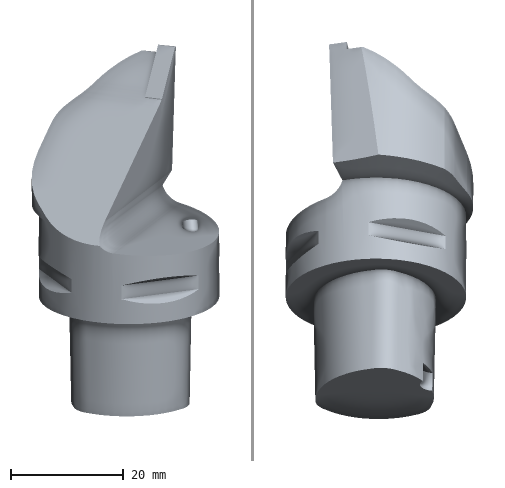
import cadquery as cq
import math

FLANGE_DIA = 32.0
FLANGE_RADIUS = FLANGE_DIA / 2
FLANGE_TOP = 15.9
SHANK_LENGTH = 19.1
TOP_Z = 59 - SHANK_LENGTH
CLEARANCE = 35.4

LOBE_RADIUS = 11.55
JOINT_RADIUS = 11.2
FLAT_RADIUS = 10.4
SHANK_TAPER = 0.35
LOBE_HALF_ANGLE = 12.4
NOTCH_AXIS_X = -11.2
NOTCH_RADIUS = 2.6
NOTCH_HEIGHT = 3.5

GROOVE_FLOOR = 14.15
GROOVE_Z = 5.9
GROOVE_FLOOR_HEIGHT = 2.55
GROOVE_MOUTH_HEIGHT = 4.7

HEAD_LEFT = -18.2
FLAT_START_Y = 1.95
FLAT_END_Y = 7.8
SHOULDER_END = (-17.6, 11.1)
CREST_MIDDLE = (-13.0, 17.2)
CREST_END = (-5.6, 21.65)
UNDERSIDE_ANGLE = 15.0
HEAD_TOP = 38.5

BACK_Y = 22.0
BACK_RELIEF = 0.05
BACK_SKEW = 0.07

RAMP_FOOT_Z = 14.3
RAMP_ANGLE = 29.0
SEAT_ANGLE = 49.5
SEAT_BEND_Y = 15.7
SEAT_BEND_RADIUS = 8.85

WALL_LEAN = 0.3
FLOOR_EDGE_Z = 12.0
FLOOR_ANGLE = 5.0
FLOOR_FILLET = 3.95

NOZZLE_DIA = 2.8
NOZZLE_LENGTH = 3.55
NOZZLE_END = (9.5, 5.2, 13.45)
NOZZLE_BEARING = 123.0
NOZZLE_ELEVATION = 55.0

INSERT_WIDTH = 3.25
INSERT_FRONT_Y = 15.5
INSERT_FRONT_Z = 32.05
INSERT_TIP_Y = 21.6
INSERT_DEPTH = 2.35


def polar(radius, degrees):
    angle = math.radians(degrees)
    return (radius * math.cos(angle), radius * math.sin(angle))


def lobed_outline(work, shrink):
    """Closed outline of three tight lobe arcs and three broad flat arcs."""
    outline = work.moveTo(*polar(JOINT_RADIUS - shrink, -LOBE_HALF_ANGLE))
    for lobe in (0, 120, 240):
        outline = outline.threePointArc(
            polar(LOBE_RADIUS - shrink, lobe),
            polar(JOINT_RADIUS - shrink, lobe + LOBE_HALF_ANGLE),
        ).threePointArc(
            polar(FLAT_RADIUS - shrink, lobe + 60),
            polar(JOINT_RADIUS - shrink, lobe + 120 - LOBE_HALF_ANGLE),
        )
    return outline.close()


def make_shank():
    base = lobed_outline(cq.Workplane("XY").workplane(offset=-SHANK_LENGTH), SHANK_TAPER)
    shank = lobed_outline(base.workplane(offset=SHANK_LENGTH), 0).loft(ruled=True)
    notch = (
        cq.Workplane("XY", origin=(NOTCH_AXIS_X, 0, -SHANK_LENGTH))
        .circle(NOTCH_RADIUS)
        .extrude(NOTCH_HEIGHT)
    )
    return shank.cut(notch)


def make_grooves():
    """Four straight grooves with sloping sides, on the diagonals of the flange."""
    floor_half = GROOVE_FLOOR_HEIGHT / 2
    mouth_half = GROOVE_MOUTH_HEIGHT / 2
    groove = (
        cq.Workplane("XZ")
        .polyline([
            (GROOVE_FLOOR, GROOVE_Z - floor_half),
            (FLANGE_RADIUS, GROOVE_Z - mouth_half),
            (FLANGE_RADIUS, GROOVE_Z + mouth_half),
            (GROOVE_FLOOR, GROOVE_Z + floor_half),
        ])
        .close()
        .extrude(FLANGE_RADIUS, both=True)
    )
    return [groove.rotate((0, 0, 0), (0, 0, 1), angle) for angle in (45, 135, 225, 315)]


def make_head():
    """Overhanging prism, trimmed below by a cone rising from the flange rim."""
    rim = polar(FLANGE_RADIUS, 225)
    turn = 45
    line_sum = -rim[0] - rim[1]
    corner_radius = (line_sum + HEAD_LEFT + FLAT_START_Y) / (math.sqrt(2) - 1)
    corner_x = HEAD_LEFT + corner_radius

    def corner_point(angle):
        dx, dy = polar(corner_radius, angle)
        return (corner_x + dx, FLAT_START_Y + dy)

    inner_x = 5.9
    prism = (
        cq.Workplane("XY")
        .moveTo(*rim)
        .lineTo(*corner_point(180 + turn))
        .threePointArc(corner_point(180 + turn / 2), (HEAD_LEFT, FLAT_START_Y))
        .lineTo(HEAD_LEFT, FLAT_END_Y)
        .tangentArcPoint(SHOULDER_END, relative=False)
        .threePointArc(CREST_MIDDLE, CREST_END)
        .lineTo(CREST_END[0], BACK_Y)
        .lineTo(inner_x, BACK_Y)
        .lineTo(inner_x, 0)
        .close()
        .extrude(HEAD_TOP)
    )
    outer = 2 * FLANGE_RADIUS
    rise = (outer - FLANGE_RADIUS) * math.tan(math.radians(UNDERSIDE_ANGLE))
    above_cone = (
        cq.Workplane("XZ")
        .polyline([
            (0, FLANGE_TOP),
            (FLANGE_RADIUS, FLANGE_TOP),
            (outer, FLANGE_TOP + rise),
            (outer, TOP_Z),
            (0, TOP_Z),
        ])
        .close()
        .revolve(360, (0, 0, 0), (0, 1, 0))
    )
    return prism.intersect(above_cone)


def make_back_cutter():
    """Everything behind the skewed relief plane."""
    normal = cq.Vector(-BACK_SKEW, 1, -BACK_RELIEF)
    plane = cq.Plane(origin=(0, BACK_Y, TOP_Z), xDir=(1, BACK_SKEW, 0), normal=normal)
    return cq.Workplane(plane).rect(4 * CLEARANCE, 4 * CLEARANCE).extrude(CLEARANCE)


def make_front_cutter():
    """Everything above the ramp and the seat, with a rounded bend between them."""
    ramp_slope = math.tan(math.radians(RAMP_ANGLE))
    seat_slope = math.tan(math.radians(SEAT_ANGLE))
    bend_z = RAMP_FOOT_Z + (SEAT_BEND_Y + FLANGE_RADIUS) * ramp_slope
    top = TOP_Z + CLEARANCE
    cutter = (
        cq.Workplane("YZ")
        .polyline([
            (SEAT_BEND_Y, bend_z),
            (SEAT_BEND_Y + (top - bend_z) / seat_slope, top),
            (-CLEARANCE, top),
            (-CLEARANCE, RAMP_FOOT_Z + (FLANGE_RADIUS - CLEARANCE) * ramp_slope),
        ])
        .close()
        .extrude(CLEARANCE, both=True)
    )
    bend = cq.selectors.NearestToPointSelector((0, SEAT_BEND_Y, bend_z))
    return cutter.edges("|X").edges(bend).fillet(SEAT_BEND_RADIUS)


def make_side_cutter():
    """Everything to the +X side of the wall and above the gently sloping floor."""
    floor_slope = math.tan(math.radians(FLOOR_ANGLE))
    foot_z = FLOOR_EDGE_Z + (FLANGE_RADIUS + WALL_LEAN) * floor_slope
    cutter = (
        cq.Workplane("XZ")
        .polyline([
            (-WALL_LEAN, foot_z),
            (CLEARANCE, FLOOR_EDGE_Z - (CLEARANCE - FLANGE_RADIUS) * floor_slope),
            (CLEARANCE, TOP_Z),
            (0, TOP_Z),
        ])
        .close()
        .extrude(CLEARANCE, both=True)
    )
    foot = cq.selectors.NearestToPointSelector((-WALL_LEAN, 0, foot_z))
    return cutter.edges("|Y").edges(foot).fillet(FLOOR_FILLET)


def make_nozzle():
    horizontal = polar(math.cos(math.radians(NOZZLE_ELEVATION)), NOZZLE_BEARING)
    direction = cq.Vector(*horizontal, math.sin(math.radians(NOZZLE_ELEVATION)))
    start = cq.Vector(*NOZZLE_END) - direction * NOZZLE_LENGTH
    return cq.Solid.makeCylinder(NOZZLE_DIA / 2, NOZZLE_LENGTH, start, direction)


def make_insert(back_cutter):
    """Sloping cutting insert whose back follows the relief plane of the head."""
    face_slope = (TOP_Z - INSERT_FRONT_Z) / (INSERT_TIP_Y - INSERT_FRONT_Y)
    far_z = TOP_Z - INSERT_DEPTH + (BACK_Y - INSERT_TIP_Y) * face_slope
    blank = (
        cq.Workplane("YZ")
        .polyline([
            (INSERT_FRONT_Y, INSERT_FRONT_Z),
            (INSERT_TIP_Y, TOP_Z),
            (BACK_Y, TOP_Z),
            (BACK_Y, far_z),
            (INSERT_FRONT_Y, INSERT_FRONT_Z - INSERT_DEPTH),
        ])
        .close()
        .extrude(-INSERT_WIDTH)
    )
    return blank.cut(back_cutter)


def make_holder(insert, back_cutter):
    body = cq.Workplane("XY").circle(FLANGE_RADIUS).extrude(HEAD_TOP)
    body = body.union(make_head())
    for cutter in (back_cutter, make_front_cutter(), make_side_cutter(), *make_grooves()):
        body = body.cut(cutter)
    return body.union(make_shank()).union(make_nozzle()).cut(insert)


back = make_back_cutter()
insert = make_insert(back)
holder = make_holder(insert, back)

result = cq.Compound.makeCompound([holder.val(), insert.val()])